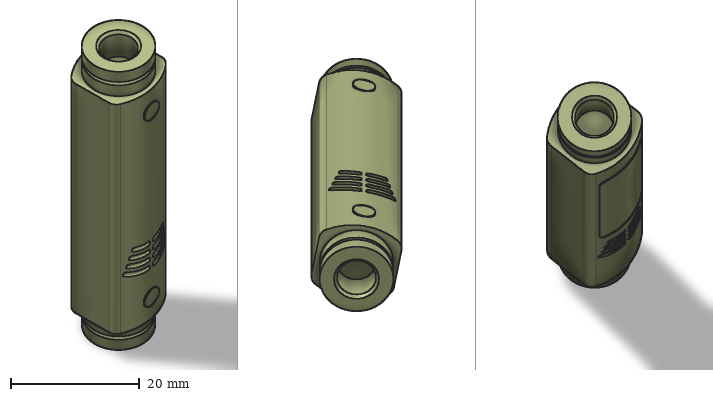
import cadquery as cq
import math

total_length = 60.8
body_half_width = 6.55
body_depth = 13.0
side_radius = 10.35
corner_radius = 1.95

neck_length = 5.35
neck_diameter = 11.4
groove_diameter = 7.35
groove_width = 0.7
groove_from_end = 2.6
bore_diameter = 6.0
bore_mouth_diameter = 7.0
bore_depth = neck_length

raise_height = 0.1
panel_width = 10.2
panel_bottom = 25.9
panel_top = 50.9
panel_end_bow = 0.3
panel_corner_radius = 1.1
pad_diameter = 3.5
pad_from_end = 10.1

vent_width = 0.9
vent_radius = 11.25
vent_inner_end = 0.8
vent_outer_ends = [4.8, 4.3, 3.9, 3.4]
vent_lowest_z = 16.85
vent_pitch = 1.75

body_length = total_length - 2 * neck_length
mid_z = total_length / 2


def body_prism(offset):
    """Barrel-sided bar with two flats; its curved sides are moved out by offset."""
    radius = side_radius + offset
    arc_centre = side_radius - body_half_width
    bar = cq.Workplane("XY").box(4 * radius, body_depth, body_length)
    for side in (-1, 1):
        cylinder = cq.Workplane("XY").center(side * arc_centre, 0).circle(radius)
        bar = bar.intersect(cylinder.extrude(body_length / 2, both=True))
    return bar.edges("|Z").fillet(corner_radius).translate((0, 0, mid_z))


def end_cutters():
    """Groove ring and blind chamfered bore for the lower end."""
    groove_bottom = groove_from_end - groove_width / 2
    groove_top = groove_from_end + groove_width / 2
    floor_radius = groove_diameter / 2
    straight_start = floor_radius + groove_width / 2
    groove = (
        cq.Workplane("XZ")
        .moveTo(neck_diameter, groove_bottom)
        .lineTo(straight_start, groove_bottom)
        .threePointArc((floor_radius, groove_from_end), (straight_start, groove_top))
        .lineTo(neck_diameter, groove_top)
        .close()
        .revolve(360, (0, 0), (0, 1))
    )
    bore_radius = bore_diameter / 2
    mouth_radius = bore_mouth_diameter / 2
    bore = (
        cq.Workplane("XZ")
        .polyline([
            (0, 0),
            (mouth_radius, 0),
            (bore_radius, mouth_radius - bore_radius),
            (bore_radius, bore_depth),
            (0, bore_depth),
        ])
        .close()
        .revolve(360, (0, 0), (0, 1))
    )
    return groove, bore


def panel():
    """Raised label panel with bowed ends, following the curve of the -X side."""
    half = panel_width / 2
    low = panel_bottom + panel_end_bow
    high = panel_top - panel_end_bow
    blank = (
        cq.Workplane("YZ")
        .moveTo(-half, low)
        .threePointArc((0, panel_bottom), (half, low))
        .lineTo(half, high)
        .threePointArc((0, panel_top), (-half, high))
        .close()
        .extrude(-2 * body_half_width)
        .edges("|X")
        .fillet(panel_corner_radius)
    )
    return blank.intersect(body_prism(raise_height))


def pad(z):
    """Flat round pad on the +X side."""
    reach = body_half_width + raise_height
    return cq.Workplane("YZ").center(0, z).circle(pad_diameter / 2).extrude(reach)


def vent(outer_end, lowest_z, side):
    """Curved slot with round ends, cut through the whole bar along X."""
    centre_z = lowest_z + vent_radius
    start = math.asin(vent_inner_end / vent_radius)
    end = math.asin(outer_end / vent_radius)
    middle = (start + end) / 2
    outer_radius = vent_radius + vent_width / 2
    inner_radius = vent_radius - vent_width / 2
    cap_angle = vent_width / 2 / vent_radius

    def at(radius, angle):
        return side * radius * math.sin(angle), centre_z - radius * math.cos(angle)

    return (
        cq.Workplane("YZ")
        .moveTo(*at(outer_radius, start))
        .threePointArc(at(outer_radius, middle), at(outer_radius, end))
        .threePointArc(at(vent_radius, end + cap_angle), at(inner_radius, end))
        .threePointArc(at(inner_radius, middle), at(inner_radius, start))
        .threePointArc(at(vent_radius, start - cap_angle), at(outer_radius, start))
        .close()
        .extrude(2 * body_half_width, both=True)
    )


result = cq.Workplane("XY").circle(neck_diameter / 2).extrude(total_length)
result = result.union(body_prism(0)).union(panel())

for pad_z in (pad_from_end, total_length - pad_from_end):
    result = result.union(pad(pad_z))

for cutter in end_cutters():
    result = result.cut(cutter)
    result = result.cut(cutter.mirror("XY", (0, 0, mid_z)))

for row, vent_end in enumerate(vent_outer_ends):
    for vent_side in (-1, 1):
        result = result.cut(vent(vent_end, vent_lowest_z + row * vent_pitch, vent_side))